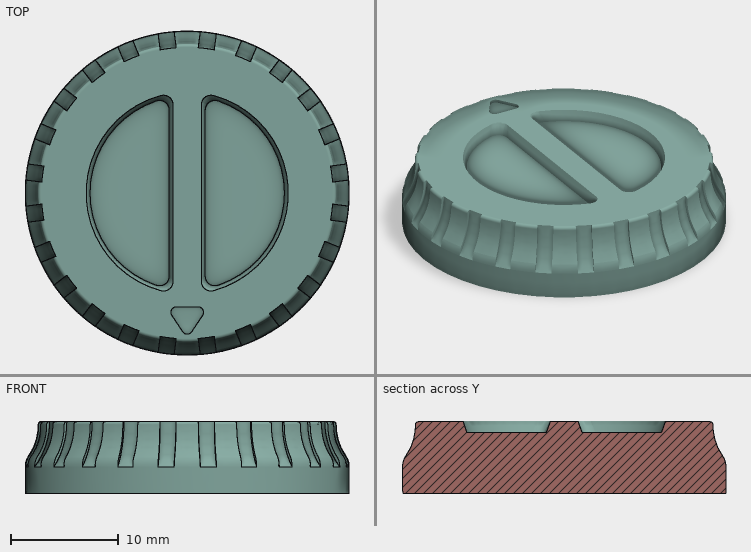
import cadquery as cq
import math

outer_radius = 15.0
height = 6.7
band_height = 2.5
top_radius = 13.5

rib_count = 24
groove_width = 1.5
groove_sweep_radius = 6.6
rib_crest_radius = 13.8
crest_rounding = rib_crest_radius - top_radius
rib_sweep_radius = 5.1
foot_height = 3.33
foot_rounding = 1.8

pocket_radius = 9.35
pocket_depth = 1.0
pocket_taper = 20.0
pocket_corner_radius = 1.0
bar_width = 2.6

pointer_base_y = -10.53
pointer_width = 3.9
pointer_length = 2.95
pointer_corner_radius = 0.5
pointer_depth = 0.3


def ribbed_body():
    """Revolved body at rib height: band, rounded foot, concave flank and rounded crest."""
    shoulder_z = height - crest_rounding
    foot_rise = foot_height - band_height
    foot_radius = outer_radius - foot_rounding + math.sqrt(foot_rounding**2 - foot_rise**2)
    return (
        cq.Workplane("XZ")
        .lineTo(outer_radius, 0)
        .lineTo(outer_radius, band_height)
        .radiusArc((foot_radius, foot_height), -foot_rounding)
        .radiusArc((rib_crest_radius, shoulder_z), rib_sweep_radius)
        .radiusArc((top_radius, height), -crest_rounding)
        .lineTo(0, height)
        .close()
        .revolve(360, (0, 0, 0), (0, 1, 0))
    )


def groove_ring():
    """Ring of material outside the groove floor, from the band up to the top face."""
    clearance = 1.5
    return (
        cq.Workplane("XZ")
        .moveTo(outer_radius, band_height)
        .radiusArc((top_radius, height), groove_sweep_radius)
        .lineTo(top_radius, height + clearance)
        .lineTo(outer_radius + clearance, height + clearance)
        .lineTo(outer_radius + clearance, band_height)
        .close()
        .revolve(360, (0, 0, 0), (0, 1, 0))
    )


def groove_slots():
    """Parallel-sided radial bars, each centred between two ribs."""
    pitch = 360 / rib_count
    bar_length = outer_radius
    return (
        cq.Workplane("XY")
        .polarArray(outer_radius, pitch / 2, 360, rib_count)
        .rect(bar_length, groove_width)
        .extrude(2 * height)
    )


def pocket():
    """Half-moon pocket on the +X side, its walls closing in towards the floor."""
    half_bar = bar_width / 2
    chord_half = math.sqrt(pocket_radius**2 - half_bar**2)
    return (
        cq.Workplane("XY", origin=(0, 0, height))
        .moveTo(half_bar, -chord_half)
        .threePointArc((pocket_radius, 0), (half_bar, chord_half))
        .close()
        .extrude(-pocket_depth, taper=pocket_taper)
        .edges("(not <Z) and (not >Z)")
        .fillet(pocket_corner_radius)
    )


def pointer():
    """Shallow triangular recess aimed at the -Y edge."""
    return (
        cq.Workplane("XY", origin=(0, pointer_base_y, height - pointer_depth))
        .polyline([(-pointer_width / 2, 0), (pointer_width / 2, 0), (0, -pointer_length)])
        .close()
        .extrude(pointer_depth)
        .edges("|Z")
        .fillet(pointer_corner_radius)
    )


right_pocket = pocket()
result = (
    ribbed_body()
    .cut(groove_ring().intersect(groove_slots()))
    .cut(right_pocket)
    .cut(right_pocket.mirror("YZ"))
    .cut(pointer())
)